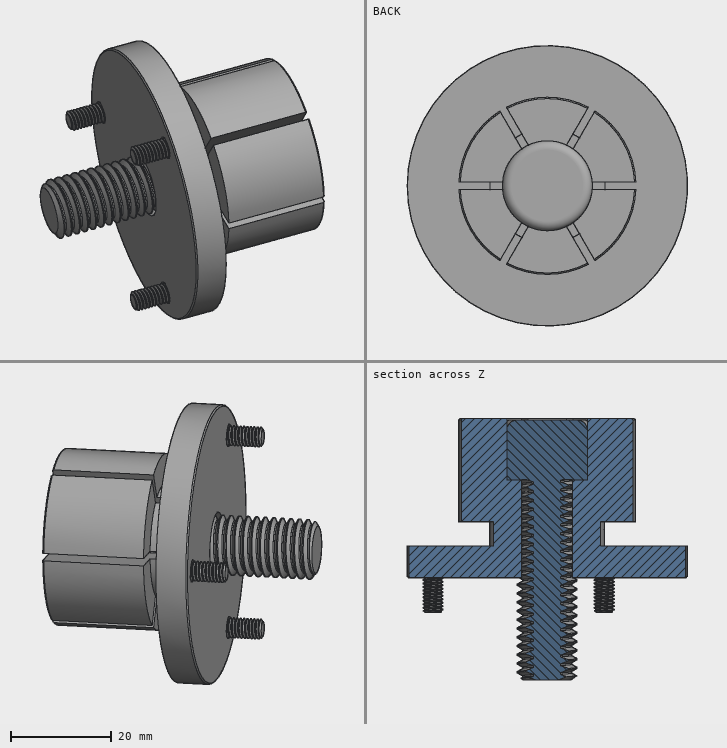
import cadquery as cq
import math


FLANGE_DIAMETER = 56
FLANGE_THICKNESS = 6.4
FLANGE_CHAMFER = 0.3
HUB_DIAMETER = 23.0
HUB_LENGTH = 4.75
COLLET_DIAMETER = 35.4
COLLET_LENGTH = 20.65
COLLET_CHAMFER = 0.3
BODY_LENGTH = FLANGE_THICKNESS + HUB_LENGTH + COLLET_LENGTH

SLOT_COUNT = 6
SLOT_WIDTH = 1.5
SLOT_DEPTH_IN_HUB = 1.5
SLOT_START = FLANGE_THICKNESS + HUB_LENGTH - SLOT_DEPTH_IN_HUB

SCREW_DIAMETER = 12.0
SCREW_LENGTH = 39.95
SCREW_TURNS = 22.9
SCREW_PITCH = SCREW_LENGTH / SCREW_TURNS
SCREW_TIP_CHAMFER = 1.3
SCREW_HEAD_DIAMETER = 17.95
SCREW_HEAD_HEIGHT = 12.0
SCREW_HEAD_FILLET = 1.8
SCREW_PROTRUSION = 20.45
SCREW_CLEARANCE_DIAMETER = 13.0
SCREW_SEAT = SCREW_LENGTH - SCREW_PROTRUSION

STUD_COUNT = 3
STUD_CIRCLE_RADIUS = 22.8
STUD_DIAMETER = 4.05
STUD_PROTRUSION = 6.95
STUD_TURNS_IN_PROTRUSION = 10
STUD_PITCH = STUD_PROTRUSION / STUD_TURNS_IN_PROTRUSION
STUD_HOLE_DEPTH = 3.0
STUD_LENGTH = STUD_HOLE_DEPTH + STUD_PROTRUSION
STUD_TIP_CHAMFER = 0.5
STUD_CLEARANCE_DIAMETER = 4.5

THREAD_DEPTH_RATIO = 0.61
RIDGE_SINK_RATIO = 0.05
CREST_WIDTH_RATIO = 1 / 8
FLANK_ANGLE = 30

TIP_CONE_ANGLE = 35


def cylinder(diameter, start, end):
    """A cylinder on the Y axis, from Y = start to Y = end."""
    return cq.Workplane("XZ", origin=(0, start, 0)).circle(diameter / 2).extrude(start - end)


def stud_places():
    """The X and Z of each stud, with the first one on the -X side."""
    for i in range(STUD_COUNT):
        angle = math.pi + 2 * math.pi * i / STUD_COUNT
        yield STUD_CIRCLE_RADIUS * math.cos(angle), STUD_CIRCLE_RADIUS * math.sin(angle)


def thread_ridge(diameter, pitch, length):
    """A right-hand helical ridge around Z, sunk a little into the core and running past both ends."""
    crest_radius = diameter / 2
    root_radius = crest_radius - THREAD_DEPTH_RATIO * pitch
    base_radius = root_radius - RIDGE_SINK_RATIO * pitch
    crest_half = CREST_WIDTH_RATIO * pitch / 2
    base_half = crest_half + (crest_radius - base_radius) * math.tan(math.radians(FLANK_ANGLE))
    start = -1.5 * pitch
    helix = cq.Wire.makeHelix(pitch, length - 2 * start, root_radius, center=cq.Vector(0, 0, start))
    return (
        cq.Workplane("XZ", origin=(0, 0, start))
        .polyline([
            (base_radius, -base_half),
            (crest_radius, -crest_half),
            (crest_radius, crest_half),
            (base_radius, base_half),
        ])
        .close()
        .sweep(cq.Workplane(helix), isFrenet=True)
    )


def threaded_rod(diameter, pitch, length, tip_chamfer):
    """A rod that starts at the origin and points along -Y, threaded over its whole length."""
    root_radius = diameter / 2 - THREAD_DEPTH_RATIO * pitch
    overrun = 2 * pitch
    core = cq.Workplane("XY", origin=(0, 0, -overrun)).circle(root_radius).extrude(length + 2 * overrun)
    rod = core.union(thread_ridge(diameter, pitch, length), clean=False)

    cone_drop = 2 * tip_chamfer * math.tan(math.radians(TIP_CONE_ANGLE))
    envelope = (
        cq.Workplane("XZ")
        .lineTo(diameter / 2 + tip_chamfer, 0)
        .lineTo(diameter / 2 + tip_chamfer, length - cone_drop)
        .lineTo(diameter / 2 - tip_chamfer, length)
        .lineTo(0, length)
        .close()
        .revolve(360, (0, 0, 0), (0, 1, 0))
    )
    return rod.intersect(envelope).rotate((0, 0, 0), (1, 0, 0), 90)


def make_body():
    flange = cylinder(FLANGE_DIAMETER, 0, FLANGE_THICKNESS).faces("<Y").chamfer(FLANGE_CHAMFER)
    hub = cylinder(HUB_DIAMETER, 0, FLANGE_THICKNESS + HUB_LENGTH)
    collet = cylinder(COLLET_DIAMETER, FLANGE_THICKNESS + HUB_LENGTH, BODY_LENGTH)
    collet = collet.faces(">Y").chamfer(COLLET_CHAMFER)
    body = flange.union(hub).union(collet)

    body = body.cut(cylinder(SCREW_CLEARANCE_DIAMETER, 0, BODY_LENGTH))
    body = body.cut(cylinder(SCREW_HEAD_DIAMETER, SCREW_SEAT, BODY_LENGTH))

    slot = cq.Workplane("XY").box(
        COLLET_DIAMETER, BODY_LENGTH - SLOT_START, SLOT_WIDTH, centered=(False, False, True)
    ).translate((0, SLOT_START, 0))
    for i in range(SLOT_COUNT):
        body = body.cut(slot.rotate((0, 0, 0), (0, 1, 0), 360 * i / SLOT_COUNT))

    for x, z in stud_places():
        body = body.cut(cylinder(STUD_CLEARANCE_DIAMETER, 0, STUD_HOLE_DEPTH).translate((x, 0, z)))
    return body


def make_cap_screw():
    shank = threaded_rod(SCREW_DIAMETER, SCREW_PITCH, SCREW_LENGTH, SCREW_TIP_CHAMFER)
    head = cylinder(SCREW_HEAD_DIAMETER, 0, SCREW_HEAD_HEIGHT).faces(">Y").edges().fillet(SCREW_HEAD_FILLET)
    return shank.union(head).translate((0, SCREW_SEAT, 0))


def make_studs():
    """Studs that stand on the floors of the blind holes."""
    stud = threaded_rod(STUD_DIAMETER, STUD_PITCH, STUD_LENGTH, STUD_TIP_CHAMFER)
    return [stud.translate((x, STUD_HOLE_DEPTH, z)) for x, z in stud_places()]


body = make_body()
cap_screw = make_cap_screw()
studs = make_studs()

result = cq.Compound.makeCompound([body.val(), cap_screw.val(), *[stud.val() for stud in studs]])